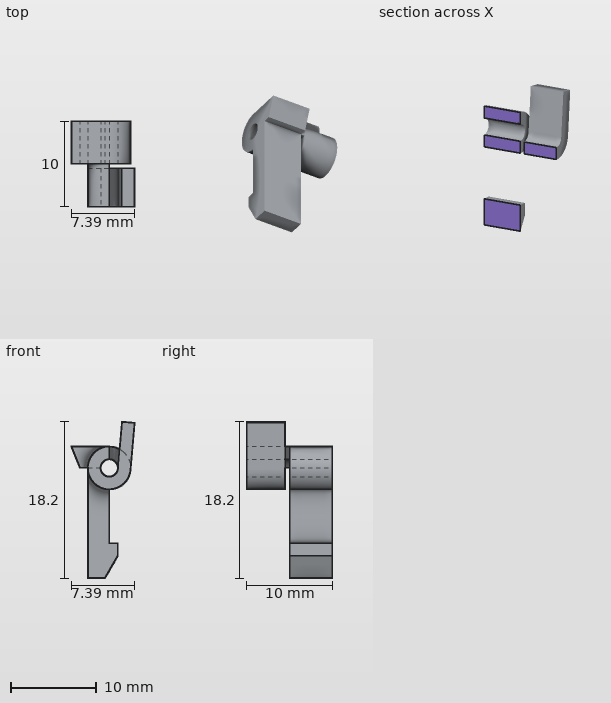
import cadquery as cq
import math

pivot_radius = 2.5
bore_radius = 1.0

latch_width = 5.0
tab_tip_x = -4.42
tab_root_x = -3.42
leg_left_x = -pivot_radius
leg_right_x = 0.0
barb_top_z = -8.75
barb_height = 1.5
barb_depth = 1.0
leg_tip_width = 2.0
barb_lead_angle = math.radians(60)

hook_gap = 0.5
hook_width = 4.5
arm_length = 5.5
arm_tilt = math.radians(5)


def extrude_along_y(profile, y_start, width):
    """Extrude an XZ profile from y_start towards +Y."""
    return profile.extrude(-width).translate((0, y_start, 0))


def make_latch():
    barb_x = leg_right_x + barb_depth
    barb_bottom_z = barb_top_z - barb_height
    leg_tip_x = leg_left_x + leg_tip_width
    leg_bottom_z = barb_bottom_z - (barb_x - leg_tip_x) * math.tan(barb_lead_angle)
    leg_and_tab = (
        cq.Workplane("XZ")
        .moveTo(leg_right_x, pivot_radius)
        .lineTo(tab_tip_x, pivot_radius)
        .lineTo(tab_root_x, 0)
        .lineTo(leg_left_x, 0)
        .lineTo(leg_left_x, leg_bottom_z)
        .lineTo(leg_tip_x, leg_bottom_z)
        .lineTo(barb_x, barb_bottom_z)
        .lineTo(barb_x, barb_top_z)
        .lineTo(leg_right_x, barb_top_z)
        .close()
    )
    barrel = cq.Workplane("XZ").circle(pivot_radius)
    return extrude_along_y(leg_and_tab, 0, latch_width).union(extrude_along_y(barrel, 0, latch_width))


def make_hook():
    def tangent_point(radius):
        """Point where the straight arm leaves the circle of this radius."""
        return radius * math.cos(arm_tilt), -radius * math.sin(arm_tilt)

    def arm_end(radius):
        x, z = tangent_point(radius)
        return x + arm_length * math.sin(arm_tilt), z + arm_length * math.cos(arm_tilt)

    curled_arm = (
        cq.Workplane("XZ")
        .moveTo(0, pivot_radius)
        .threePointArc((-pivot_radius, 0), (0, -pivot_radius))
        .threePointArc(
            (pivot_radius * math.sin(math.pi / 4), -pivot_radius * math.cos(math.pi / 4)),
            tangent_point(pivot_radius),
        )
        .lineTo(*arm_end(pivot_radius))
        .lineTo(*arm_end(bore_radius))
        .lineTo(*tangent_point(bore_radius))
        .lineTo(0, 0)
        .close()
    )
    return extrude_along_y(curled_arm, -hook_gap - hook_width, hook_width)


def make_bridge():
    """Upper left quarter of the pivot, spanning the gap between hook and latch."""
    quarter = (
        cq.Workplane("XZ")
        .moveTo(0, 0)
        .lineTo(0, pivot_radius)
        .threePointArc(
            (-pivot_radius * math.sin(math.pi / 4), pivot_radius * math.cos(math.pi / 4)),
            (-pivot_radius, 0),
        )
        .close()
    )
    return extrude_along_y(quarter, -hook_gap, hook_gap)


def make_bore():
    total_width = latch_width + hook_gap + hook_width
    return extrude_along_y(cq.Workplane("XZ").circle(bore_radius), -hook_gap - hook_width, total_width)


result = make_latch().union(make_bridge()).union(make_hook()).cut(make_bore())